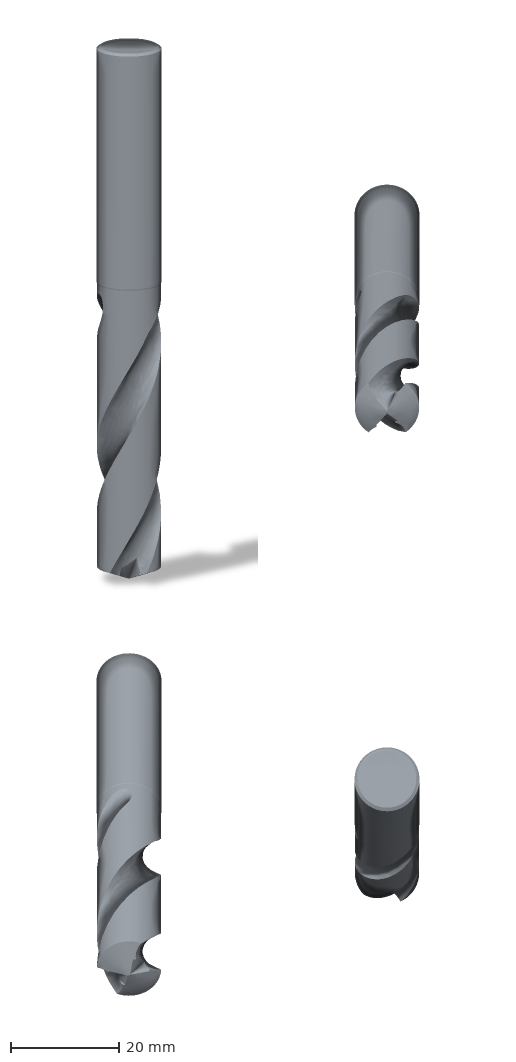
import cadquery as cq
import math

overall_length = 102.0
shank_length = 45.0
shank_diameter = 12.0
shank_chamfer_radial = 0.6
shank_chamfer_height = 0.4

cut_diameter = 11.9
shoulder_height = 0.25
point_angle = 136.0
cutting_head_length = 31.3

flute_count = 2
helix_angle = 30.0
flute_web_radius = 2.5
flute_half_span = 35.0
flute_angle_at_joint = -89.0
flute_end = 48.3
runout_end = 55.2
runout_turn = 39.0
tool_overrun = 1.0

gash_valley_start = cq.Vector(0.2, -0.3, 0.3)
gash_valley_end = cq.Vector(2.4, -1.7, 4.9)
gash_heel_point = cq.Vector(-0.15, -3.25, 3.0)
gash_lip_point = cq.Vector(3.4, -2.4, 2.3)

shank_radius = shank_diameter / 2
cut_radius = cut_diameter / 2
shank_start = overall_length - shank_length
point_height = cut_radius / math.tan(math.radians(point_angle / 2))
helix_pitch = math.pi * shank_diameter / math.tan(math.radians(helix_angle))

rim_x = cut_radius * math.cos(math.radians(flute_half_span))
rim_y = cut_radius * math.sin(math.radians(flute_half_span))
rim_depth = rim_x - flute_web_radius
flute_radius = (rim_y**2 + rim_depth**2) / (2 * rim_depth)
flute_offset = flute_web_radius + flute_radius


def flute_angle(z):
    """Direction of the first flute's middle at height z, in degrees."""
    return flute_angle_at_joint + 360 * (z - cutting_head_length) / helix_pitch


def polar(radius, degrees):
    angle = math.radians(degrees)
    return radius * math.cos(angle), radius * math.sin(angle)


def make_flute(start_angle):
    """Helical groove tool plus the straight runout that lifts it out of the rim."""
    tool_height = flute_end + tool_overrun
    start_x, start_y = polar(flute_offset, start_angle + flute_angle(-tool_overrun))
    helix = (
        cq.Workplane("XY", origin=(0, 0, -tool_overrun))
        .moveTo(start_x, start_y)
        .circle(flute_radius)
        .twistExtrude(tool_height, 360 * tool_height / helix_pitch)
    )
    helix_end_angle = start_angle + flute_angle(flute_end)
    base_x, base_y = polar(flute_offset, helix_end_angle)
    tip_x, tip_y = polar(cut_radius + flute_radius, helix_end_angle + runout_turn)
    base = cq.Wire.makeCircle(flute_radius, cq.Vector(base_x, base_y, flute_end), cq.Vector(0, 0, 1))
    path = cq.Vector(tip_x - base_x, tip_y - base_y, runout_end - flute_end)
    runout = cq.Solid.extrudeLinear(base, [], path)
    return helix, cq.Workplane(obj=runout)


def cut_flutes(body):
    for index in range(flute_count):
        for tool in make_flute(index * 360 / flute_count):
            body = body.cut(tool)
    return body


def make_gash():
    """Wedge tool: a parallelogram with the V at its inner corner, swept along the valley."""
    valley = gash_valley_end - gash_valley_start
    outer_point = gash_heel_point + gash_lip_point - gash_valley_start
    corners = [gash_valley_start, gash_heel_point, outer_point, gash_lip_point]
    section = cq.Wire.makePolygon([corner - valley for corner in corners], close=True)
    sweep = valley + valley
    return cq.Workplane(obj=cq.Solid.extrudeLinear(section, [], sweep))


def make_cutting_head():
    blank = (
        cq.Workplane("XZ")
        .polyline([(0, 0), (cut_radius, point_height),
                   (cut_radius, cutting_head_length), (0, cutting_head_length)])
        .close()
        .revolve(360, (0, 0), (0, 1))
    )
    head = cut_flutes(blank)
    for index in range(flute_count):
        head = head.cut(make_gash().rotate((0, 0, 0), (0, 0, 1), index * 360 / flute_count))
    return head


def make_body():
    blank = (
        cq.Workplane("XZ")
        .polyline([
            (0, cutting_head_length),
            (cut_radius, cutting_head_length),
            (cut_radius, shank_start - shoulder_height),
            (shank_radius, shank_start),
            (shank_radius, overall_length - shank_chamfer_height),
            (shank_radius - shank_chamfer_radial, overall_length),
            (0, overall_length),
        ])
        .close()
        .revolve(360, (0, 0), (0, 1))
    )
    return cut_flutes(blank)


cutting_head = make_cutting_head()
body = make_body()
result = cq.Compound.makeCompound([cutting_head.val(), body.val()])